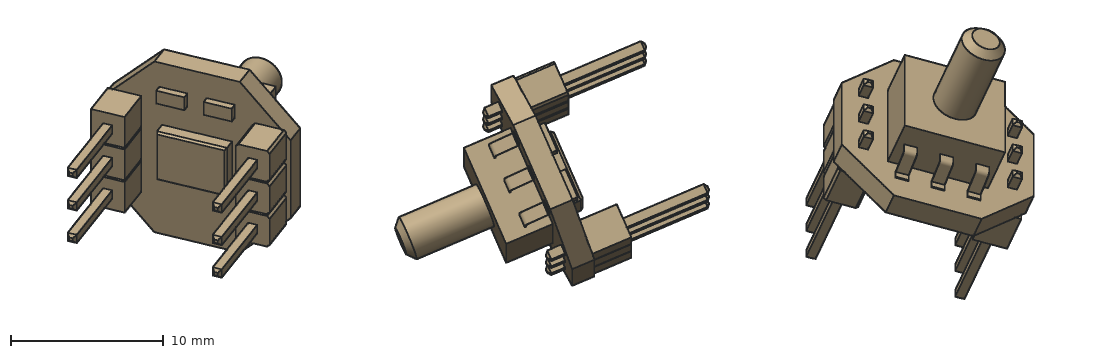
import cadquery as cq
import math

overall_length = 19.69

board_size = 13.35
board_flat = 6.1
board_thickness = 1.6

body_size = 6.97
body_depth = 3.33
port_diameter = 3.01
port_length = 6.0
port_chamfer_length = 0.5
port_chamfer_width = 0.55

pins_per_header = 3
pin_pitch = 2.54
header_x = 5.18
header_block_size = 2.4
header_block_depth = 2.75
header_corner_chamfer = 0.18

pin_width = 0.65
pin_tip_width = 0.24
pin_tip_length = 0.2
pin_rear_length = 1.18
pin_front_length = overall_length - board_thickness - body_depth - port_length

chip_width = 5.0
chip_height = 3.75
chip_depth = 1.02
chip_bevel_depth = 0.2
chip_bevel_width = 0.12

component_width = 2.0
component_height = 1.0
component_depth = 0.51
component_x = 1.7
component_z = 4.3

leads_per_side = 3
lead_pitch = 2.5
lead_width = 0.9
lead_thickness = 0.1
lead_rise = 1.77
lead_shoulder_height = 0.67
lead_foot_height = 0.95
lead_tip_height = 1.42
lead_inner_radius = 0.2

board_back = board_thickness
body_back = board_back + body_depth


def spaced(count, pitch):
    """Positions of evenly spaced items, centred on zero."""
    return [(i - (count - 1) / 2) * pitch for i in range(count)]


def box(x, z, width, height, y_start, y_end):
    """Block centred on (x, z) that fills y_start to y_end."""
    return cq.Workplane("XY").box(width, y_end - y_start, height).translate((x, (y_start + y_end) / 2, z))


def make_board():
    corner_cut = (board_size - board_flat) / 2
    return box(0, 0, board_size, board_size, 0, board_back).edges("|Y").chamfer(corner_cut)


def make_sensor():
    body = box(0, 0, body_size, body_size, board_back, body_back)
    port_radius = port_diameter / 2
    port_end = body_back + port_length
    port_profile = [
        (body_back, 0),
        (body_back, port_radius),
        (port_end - port_chamfer_length, port_radius),
        (port_end, port_radius - port_chamfer_width),
        (port_end, 0),
    ]
    port = cq.Workplane("YZ").polyline(port_profile).close().revolve(360, (0, 0, 0), (1, 0, 0))
    return body.union(port)


def make_chip():
    base_depth = chip_depth - chip_bevel_depth
    taper = math.degrees(math.atan2(chip_bevel_width, chip_bevel_depth))
    base = cq.Workplane("XZ").rect(chip_width, chip_height).extrude(base_depth)
    bevel = (
        cq.Workplane("XZ", origin=(0, -base_depth, 0))
        .rect(chip_width, chip_height)
        .extrude(chip_bevel_depth, taper=taper)
    )
    return base.union(bevel)


def make_pin(x, z):
    shaft_front = pin_tip_length - pin_front_length
    shaft_back = board_back + pin_rear_length - pin_tip_length
    taper = math.degrees(math.atan2((pin_width - pin_tip_width) / 2, pin_tip_length))
    pin = box(x, z, pin_width, pin_width, shaft_front, shaft_back)
    for face in ("<Y", ">Y"):
        tip = pin.faces(face).workplane(centerOption="CenterOfMass").rect(pin_width, pin_width)
        pin = pin.union(tip.extrude(pin_tip_length, taper=taper, combine=False))
    return pin


def make_header(x, corner_chamfer):
    header = cq.Workplane("XY")
    for z in spaced(pins_per_header, pin_pitch):
        block = box(x, z, header_block_size, header_block_size, -header_block_depth, 0)
        if corner_chamfer > 0:
            block = block.edges("|Y").chamfer(corner_chamfer)
        header = header.union(block).union(make_pin(x, z))
    return header


def make_lead(x):
    """Lead on the top side: straight out of the body, sloping to the board, then flat on the board."""
    body_top = body_size / 2
    outer_y = board_back + lead_rise
    inner_y = outer_y - lead_thickness
    foot_y = board_back + lead_thickness
    shoulder_z = body_top + lead_shoulder_height
    foot_z = body_top + lead_foot_height
    tip_z = body_top + lead_tip_height

    slope_angle = math.atan2(lead_foot_height - lead_shoulder_height, lead_rise - lead_thickness)
    bend_shift = lead_thickness * math.tan(math.pi / 4 - slope_angle / 2)
    lead_profile = [
        (outer_y, body_top),
        (outer_y, shoulder_z),
        (foot_y, foot_z),
        (foot_y, tip_z),
        (board_back, tip_z),
        (board_back, foot_z - bend_shift),
        (inner_y, shoulder_z - bend_shift),
        (inner_y, body_top),
    ]
    lead = (
        cq.Workplane("YZ", origin=(x - lead_width / 2, 0, 0))
        .polyline(lead_profile)
        .close()
        .extrude(lead_width)
    )
    outer_bend = cq.selectors.NearestToPointSelector((x, outer_y, shoulder_z))
    inner_bend = cq.selectors.NearestToPointSelector((x, inner_y, shoulder_z - bend_shift))
    lead = lead.edges("|X").edges(outer_bend).fillet(lead_inner_radius + lead_thickness)
    return lead.edges("|X").edges(inner_bend).fillet(lead_inner_radius)


result = make_board().union(make_sensor()).union(make_chip())

for side in (-1, 1):
    component = box(
        side * component_x, component_z, component_width, component_height, -component_depth, 0
    )
    result = result.union(component)

result = result.union(make_header(-header_x, 0))
result = result.union(make_header(header_x, header_corner_chamfer))

for lead_x in spaced(leads_per_side, lead_pitch):
    lead = make_lead(lead_x)
    result = result.union(lead).union(lead.mirror("XY"))